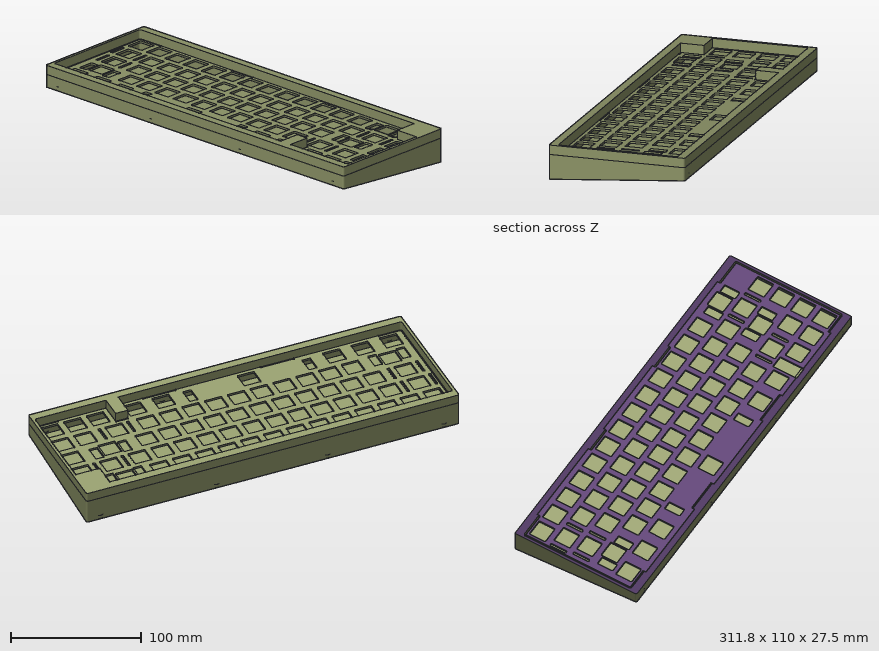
import cadquery as cq

LENGTH = 311.8
DEPTH = 110.0
REAR_HEIGHT = 27.5
FRONT_HEIGHT = 18.0
FRAME_HEIGHT = 7.5
CORNER_RADIUS = 1.5

LAYOUT_LENGTH = 305.0
UNITS_WIDE = 16
ROWS = 5

SIDE_RIM = 2.5
END_RIM = 7.0

PLATE_THICKNESS = 1.5
PLATE_GAP = 1.0
TAB_REACH = 2.0
FLOOR_DEPTH = 9.0

SWITCH_SIZE = 14.0
SWITCH_RADIUS = 0.5
STABILIZER_WIDTH = 7.0
STABILIZER_LENGTH = 13.5
STABILIZER_SHIFT = 1.5
STABILIZER_SPREAD = 12.0
SPACE_SPREAD = 50.0
SLIT_WIDTH = 2.0
SLIT_SPREAD = 12.0

BLOCKER_WIDTH = 10.3
BLOCKER_LENGTH = 18.5
BLOCKER_X = 89.0

CORNER_UNIT = 15
CORNER_SETBACK = 0.5

FOOT_DIAMETER = 9.5
FOOT_RECESS = 1.0
FOOT_X = 148.0
FRONT_FOOT_EDGE = 9.5
REAR_FOOT_EDGE = 12.0
SCREW_DIAMETER = 6.0
SCREW_RECESS = 3.0
SCREW_EDGE = 3.5
SCREW_XS = (-143.7, -46.5, 46.5, 143.7)

KEY_PITCH = LAYOUT_LENGTH / UNITS_WIDE
SEAM = REAR_HEIGHT - FRAME_HEIGHT
FRONT_BOTTOM = REAR_HEIGHT - FRONT_HEIGHT
PLATE_BOTTOM = SEAM - PLATE_THICKNESS
FLOOR = SEAM - FLOOR_DEPTH
OPENING_LENGTH = LENGTH - 2 * SIDE_RIM
OPENING_DEPTH = DEPTH - 2 * END_RIM


def unit_x(unit):
    """X of a place given in key units from the left end of the layout."""
    return (unit - UNITS_WIDE / 2) * KEY_PITCH


def row_y(row):
    """Y of the centre of a key row, counted from the rear."""
    return ((ROWS - 1) / 2 - row) * KEY_PITCH


def block(x0, x1, y0, y1, z0, z1):
    """Upright box between two opposite corners."""
    return cq.Workplane("XY").box(x1 - x0, y1 - y0, z1 - z0, centered=False).translate((x0, y0, z0))


def opening(z0, z1):
    """Rectangular well with rounded corners inside the rims."""
    well = cq.Workplane("XY").box(OPENING_LENGTH, OPENING_DEPTH, z1 - z0, centered=(True, True, False))
    return well.edges("|Z").fillet(CORNER_RADIUS).translate((0, 0, z0))


BLOCKER_LEFT = BLOCKER_X - BLOCKER_WIDTH / 2
BLOCKER_RIGHT = BLOCKER_X + BLOCKER_WIDTH / 2
BLOCKER_TOP = BLOCKER_LENGTH - OPENING_DEPTH / 2
CORNER_LEFT = unit_x(CORNER_UNIT)
CORNER_FRONT = row_y(0.5) + CORNER_SETBACK


def make_frame():
    """Upper rim of the housing, with the rear corner and the bottom-row blocker left solid."""
    frame = cq.Workplane("XY").box(LENGTH, DEPTH, FRAME_HEIGHT, centered=(True, True, False))
    frame = frame.edges("|Z").fillet(CORNER_RADIUS).translate((0, 0, SEAM))
    well = opening(SEAM, REAR_HEIGHT)
    well = well.cut(block(CORNER_LEFT, LENGTH / 2, CORNER_FRONT, DEPTH / 2, SEAM, REAR_HEIGHT))
    well = well.cut(block(BLOCKER_LEFT, BLOCKER_RIGHT, -DEPTH / 2, BLOCKER_TOP, SEAM, REAR_HEIGHT))
    return frame.cut(well)


REAR_TABS = ((-131.5, -57.5), (-35.5, 35.5), (57.5, 129.7))
FRONT_TABS = ((-134.0, -63.3), (-35.5, 35.5), (63.3, 134.0))
TAB_EDGE = OPENING_DEPTH / 2 + TAB_REACH


def make_tabs():
    """Strips at the plate's level that run from the well to beneath the rims."""
    inner = OPENING_DEPTH / 2 - PLATE_GAP
    tabs = cq.Workplane("XY")
    for left, right in REAR_TABS:
        tabs = tabs.union(block(left, right, inner, TAB_EDGE, PLATE_BOTTOM, SEAM))
    for left, right in FRONT_TABS:
        tabs = tabs.union(block(left, right, -TAB_EDGE, -inner, PLATE_BOTTOM, SEAM))
    return tabs


ONE_UNIT_KEYS = (
    [(unit + 0.5, 0) for unit in range(13)]
    + [(unit + 2, 1) for unit in range(12)]
    + [(unit + 2.25, 2) for unit in range(11)]
    + [(unit + 2.75, 3) for unit in range(10)]
    + [(15.5, row) for row in (1, 2, 3, 4)]
    + [(14.5, 3), (14.5, 4), (13.5, 4)]
)
BOTTOM_KEYS = [(unit, 4) for unit in (0.625, 1.875, 3.125, 10.625, 11.875)]
SLIT_KEYS = [(0.75, 1), (14.25, 1), (0.875, 2), (13.125, 3)]
STABILIZED_KEYS = [
    (14.0, 0, STABILIZER_SPREAD, -1),
    (13.875, 2, STABILIZER_SPREAD, 1),
    (1.125, 3, STABILIZER_SPREAD, -1),
    (6.875, 4, SPACE_SPREAD, 1),
]


def plate_holes(places, width, length, radius):
    """Rounded rectangular holes through the plate, centred on the given places."""
    holes = cq.Workplane("XY", origin=(0, 0, PLATE_BOTTOM)).pushPoints(places)
    return holes.rect(width, length).extrude(PLATE_THICKNESS).edges("|Z").fillet(radius)


def make_plate():
    """Tabbed switch plate, notched around the blocker."""
    plate = block(
        PLATE_GAP - OPENING_LENGTH / 2, OPENING_LENGTH / 2 - PLATE_GAP,
        PLATE_GAP - OPENING_DEPTH / 2, OPENING_DEPTH / 2 - PLATE_GAP,
        PLATE_BOTTOM, SEAM,
    ).union(make_tabs())
    notch = block(BLOCKER_LEFT, BLOCKER_RIGHT, -DEPTH / 2, BLOCKER_TOP + PLATE_GAP, PLATE_BOTTOM, SEAM)
    keys = ONE_UNIT_KEYS + BOTTOM_KEYS + SLIT_KEYS + [key[:2] for key in STABILIZED_KEYS]
    switches = [(unit_x(unit), row_y(row)) for unit, row in keys]
    slits = [
        (unit_x(unit) + side * SLIT_SPREAD, row_y(row)) for unit, row in SLIT_KEYS for side in (-1, 1)
    ]
    stabilizers = [
        (unit_x(unit) + side * spread, row_y(row) + direction * STABILIZER_SHIFT)
        for unit, row, spread, direction in STABILIZED_KEYS
        for side in (-1, 1)
    ]
    plate = plate.cut(notch)
    plate = plate.cut(plate_holes(switches, SWITCH_SIZE, SWITCH_SIZE, SWITCH_RADIUS))
    plate = plate.cut(plate_holes(slits, SLIT_WIDTH, SWITCH_SIZE, SWITCH_RADIUS))
    return plate.cut(plate_holes(stabilizers, STABILIZER_WIDTH, STABILIZER_LENGTH, SWITCH_RADIUS))


def bottom_recesses(places, diameter, depth):
    """Round recesses square to the sloping underside, placed by X and Y."""
    normal = cq.Vector(0, FRONT_BOTTOM, DEPTH)
    recesses = cq.Workplane("XY")
    for x, y in places:
        z = FRONT_BOTTOM * (0.5 - y / DEPTH)
        cylinder = cq.Solid.makeCylinder(diameter / 2, depth, cq.Vector(x, y, z), normal)
        recesses = recesses.add(cylinder)
    return recesses.combine()


def make_case():
    """Wedge-shaped tray with pockets for the plate tabs."""
    profile = [(-DEPTH / 2, FRONT_BOTTOM), (DEPTH / 2, 0), (DEPTH / 2, SEAM), (-DEPTH / 2, SEAM)]
    case = cq.Workplane("YZ").polyline(profile).close().extrude(LENGTH / 2, both=True)
    case = case.edges("|Z").fillet(CORNER_RADIUS)
    foot_ys = (FRONT_FOOT_EDGE - DEPTH / 2, DEPTH / 2 - REAR_FOOT_EDGE)
    feet = [(x, y) for x in (-FOOT_X, FOOT_X) for y in foot_ys]
    screw_y = DEPTH / 2 - SCREW_EDGE
    screws = [(x, y) for x in SCREW_XS for y in (-screw_y, screw_y)]
    case = case.cut(opening(FLOOR, SEAM)).cut(make_tabs())
    case = case.cut(bottom_recesses(feet, FOOT_DIAMETER, FOOT_RECESS))
    return case.cut(bottom_recesses(screws, SCREW_DIAMETER, SCREW_RECESS))


frame = make_frame()
plate = make_plate()
case = make_case()
result = cq.Compound.makeCompound([frame.val(), plate.val(), case.val()])